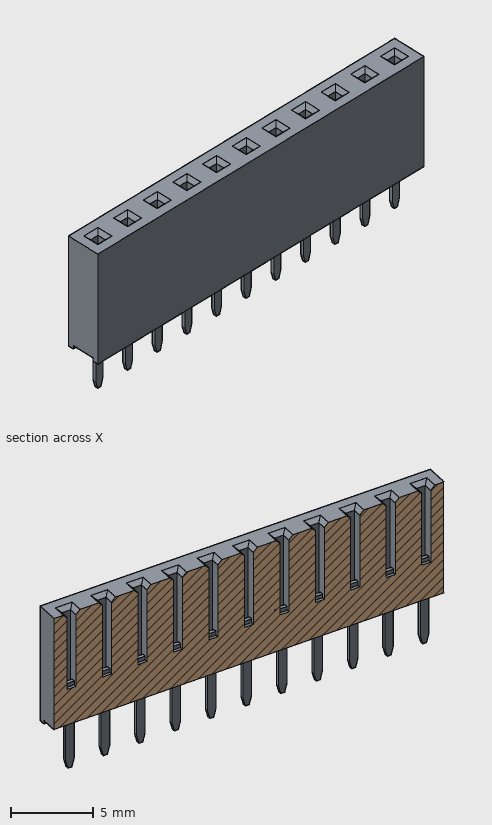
import cadquery as cq

contact_count = 11
length = 27.95
width = 2.55
height = 8.5
pitch = length / contact_count

foot_width = 0.42
foot_height = 0.25

funnel_mouth = 1.2
socket_size = 0.61
funnel_depth = (funnel_mouth - socket_size) / 2
socket_depth = 5.6

pin_thickness = 0.25
pin_width = 0.61
pin_drop = 3.1
tip_width = 0.28
tip_length = 0.61
pin_rise = 0.28

socket_floor = height - socket_depth


def make_housing():
    """Block standing on z = 0 with a shallow channel along its underside."""
    block = cq.Workplane("XY").box(width, length, height, centered=(True, True, False))
    channel = cq.Workplane("XY").box(
        width - 2 * foot_width, length, foot_height, centered=(True, True, False)
    )
    return block.cut(channel)


def make_socket():
    """Space removed for one contact, centred on the Z axis."""
    funnel = (
        cq.Workplane("XY", origin=(0, 0, height))
        .rect(funnel_mouth, funnel_mouth)
        .workplane(offset=-funnel_depth)
        .rect(socket_size, socket_size)
        .loft(ruled=True)
    )
    hole = (
        cq.Workplane("XY", origin=(0, 0, socket_floor))
        .rect(socket_size, socket_size)
        .extrude(socket_depth - funnel_depth)
    )
    return funnel.union(hole)


def make_pin():
    """Flat pin with a tapered lower tip, centred on the Z axis."""
    top = socket_floor + pin_rise
    bottom = -pin_drop
    shoulder = bottom + tip_length
    outline = [
        (-pin_width / 2, top),
        (pin_width / 2, top),
        (pin_width / 2, shoulder),
        (tip_width / 2, bottom),
        (-tip_width / 2, bottom),
        (-pin_width / 2, shoulder),
    ]
    return cq.Workplane("YZ").polyline(outline).close().extrude(pin_thickness / 2, both=True)


result = make_housing()
socket = make_socket()
pin = make_pin()
for index in range(contact_count):
    y = (index - (contact_count - 1) / 2) * pitch
    result = result.cut(socket.translate((0, y, 0)))
    result = result.union(pin.translate((0, y, 0)))